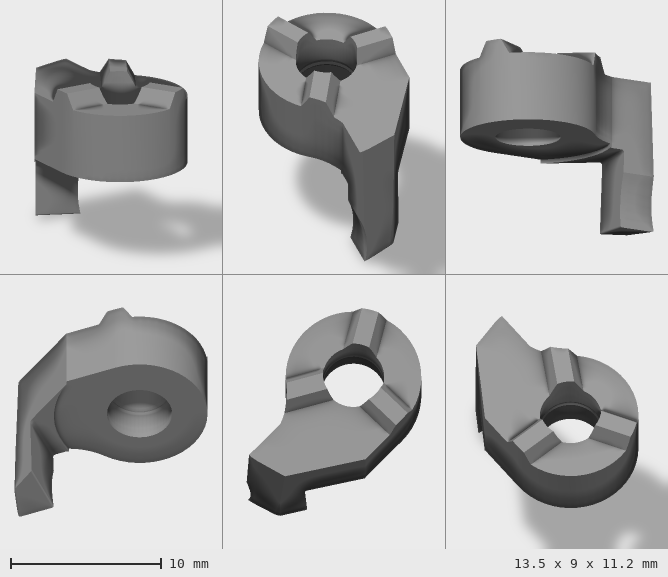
import cadquery as cq
import math

overall_height = 11.2
hub_diameter = 9.0
hub_radius = hub_diameter / 2
hub_bottom = -4.61
bore_radius = 2.04
lower_bore_radius = 2.16
groove_radius = 2.12
groove_top = -1.9
groove_middle = -2.17
groove_bottom = -2.36
lower_bore_top = -2.56

tooth_height = 1.03
tooth_base_width = 2.3
tooth_top_width = 1.13
tooth_angles = (30, 150, 270)

arm_bottom = -4.88
arm_back = 1.21
neck_radius = 4.72
neck_end_y = 2.77
flank_start = -3.47
flank_slope = -0.654
clearance_radius = 5.68

nose_x = -8.65
nose_edge_y = 1.0
nose_bend_y = 0.49
nose_bend_x = -8.55
nose_slope = -0.26
nose_draft = 0.035

stem_right_x = -6.72
stem_right_slope = 0.081
stem_right_draft = 0.029
stem_root_radius = 0.19

tip_top = -6.43
tip_bottom = tooth_height - overall_height
tip_lowest_y = 1.0
tip_bottom_slope = 0.107
rake_waist_y = 0.81
rake_waist_z = -8.63
relief_rise = 0.35
relief_run = 0.22
relief_length = 4
nose_edge_radius = 0.16
nose_edge_zone_width = 0.67
inner_edge_radius = 0.1

reach = 13.49


def flank_x(y):
    """X of the slanted front flank at the given Y."""
    return flank_start + (y + hub_radius) / flank_slope


def ruled_block(lower_points, lower_z, upper_points, upper_z):
    """Straight-sided solid between two horizontal polygons."""
    return (
        cq.Workplane("XY", origin=(0, 0, lower_z))
        .polyline(lower_points)
        .close()
        .workplane(offset=upper_z - lower_z)
        .polyline(upper_points)
        .close()
        .loft(ruled=True)
    )


def outline(bottom, top):
    """Hub and arm outline; the concave neck is tangent to the hub and meets the arm back at a slight angle."""
    neck_end = (-math.sqrt(hub_radius**2 - neck_end_y**2), neck_end_y)
    centre_ratio = (hub_radius + neck_radius) / hub_radius
    neck_x = neck_end[0] * centre_ratio
    neck_y = neck_end[1] * centre_ratio
    neck_start = (neck_x + math.sqrt(neck_radius**2 - (neck_y - arm_back) ** 2), arm_back)
    start_angle = math.atan2(neck_start[1] - neck_y, neck_start[0] - neck_x)
    end_angle = math.atan2(neck_end[1] - neck_y, neck_end[0] - neck_x)
    middle_angle = (start_angle + end_angle) / 2
    neck_middle = (
        neck_x + neck_radius * math.cos(middle_angle),
        neck_y + neck_radius * math.sin(middle_angle),
    )
    return (
        cq.Workplane("XY", origin=(0, 0, bottom))
        .moveTo(0, -hub_radius)
        .lineTo(flank_start, -hub_radius)
        .lineTo(flank_x(arm_back), arm_back)
        .lineTo(*neck_start)
        .threePointArc(neck_middle, neck_end)
        .threePointArc((hub_radius, 0), (0, -hub_radius))
        .close()
        .extrude(top - bottom)
    )


def nose_limit():
    """Space to the right of the nose faces, which lean outward toward the bottom."""
    def section(z):
        shift = nose_draft * z
        end_x = nose_bend_x + nose_slope * (-reach - nose_bend_y)
        return [
            (nose_x + shift, reach),
            (nose_x + shift, nose_edge_y),
            (nose_bend_x + shift, nose_bend_y),
            (end_x + shift, -reach),
            (reach, -reach),
            (reach, reach),
        ]
    return ruled_block(section(-reach), -reach, section(reach), reach)


def stem_clearance():
    """Space under the arm beside the stem, rounded along the root."""
    def section(z):
        left_x = stem_right_x - stem_right_draft * (z - arm_bottom)
        return [
            (left_x - stem_right_slope * reach, -reach),
            (left_x + stem_right_slope * reach, reach),
            (reach, reach),
            (reach, -reach),
        ]
    block = ruled_block(section(-reach), -reach, section(arm_bottom), arm_bottom)
    return block.faces(">Z").edges("<X").fillet(stem_root_radius)


def tooth(angle):
    """Radial trapezoid rib."""
    return (
        cq.Workplane("YZ")
        .polyline([
            (-tooth_base_width / 2, 0),
            (tooth_base_width / 2, 0),
            (tooth_top_width / 2, tooth_height),
            (-tooth_top_width / 2, tooth_height),
        ])
        .close()
        .extrude(reach)
        .rotate((0, 0, 0), (0, 0, 1), angle)
    )


def bore():
    """Through bore with an annular groove and a wider lower end."""
    return (
        cq.Workplane("XZ")
        .polyline([
            (0, reach),
            (bore_radius, reach),
            (bore_radius, groove_top),
            (groove_radius, groove_middle),
            (bore_radius, groove_bottom),
            (lower_bore_radius, lower_bore_top),
            (lower_bore_radius, -reach),
            (0, -reach),
        ])
        .close()
        .revolve(360, (0, 0), (0, 1))
    )


def tip_side_profile():
    """Concave rake face and sloping underside, seen along X."""
    front_z = tip_bottom + tip_bottom_slope * (tip_lowest_y + hub_radius)
    return (
        cq.Workplane("YZ", origin=(-reach, 0, 0))
        .moveTo(arm_back, tip_top)
        .threePointArc((rake_waist_y, rake_waist_z), (tip_lowest_y, tip_bottom))
        .lineTo(-hub_radius, front_z)
        .lineTo(-hub_radius, tip_top)
        .close()
        .extrude(2 * reach)
    )


def tip_relief():
    """Vertical flat that widens downward from the corner of nose and flank."""
    nose_line_x = nose_bend_x + nose_draft * tip_top - nose_slope * nose_bend_y
    flank_line_x = flank_start + hub_radius / flank_slope
    corner_y = (nose_line_x - flank_line_x) / (1 / flank_slope - nose_slope)
    corner_x = flank_x(corner_y)
    return (
        cq.Workplane("XY", origin=(0, 0, -reach))
        .polyline([
            (corner_x + relief_length * relief_run, corner_y - relief_length * relief_rise),
            (corner_x - relief_length * relief_run, corner_y + relief_length * relief_rise),
            (-reach, corner_y),
        ])
        .close()
        .extrude(reach + tip_top)
    )


def round_underside(tip):
    """Round the underside edges along the inner stem face and along the nose faces."""
    nose_edge_zone = cq.selectors.BoxSelector(
        (-reach, -hub_radius, -reach),
        (nose_bend_x + nose_edge_zone_width, tip_lowest_y, tip_top),
    )
    tip = tip.faces("<Z").edges(">X").fillet(inner_edge_radius)
    return tip.faces("%PLANE").faces("<Z").edges(nose_edge_zone).fillet(nose_edge_radius)


def make_holder():
    hub_and_arm = outline(tip_top, 0)
    under_hub = cq.Workplane("XY", origin=(0, 0, tip_top)).circle(clearance_radius).extrude(hub_bottom - tip_top)
    body = hub_and_arm.cut(under_hub).cut(stem_clearance())
    tooth_space = outline(0, tooth_height)
    for angle in tooth_angles:
        body = body.union(tooth(angle).intersect(tooth_space))
    return body.intersect(nose_limit()).cut(bore())


def make_tip():
    stem = outline(-reach, tip_top).intersect(nose_limit()).cut(stem_clearance())
    tip = stem.intersect(tip_side_profile())
    tip = round_underside(tip)
    return tip.cut(tip_relief())


holder = make_holder()
cutting_tip = make_tip()
result = cq.Compound.makeCompound([holder.val(), cutting_tip.val()])